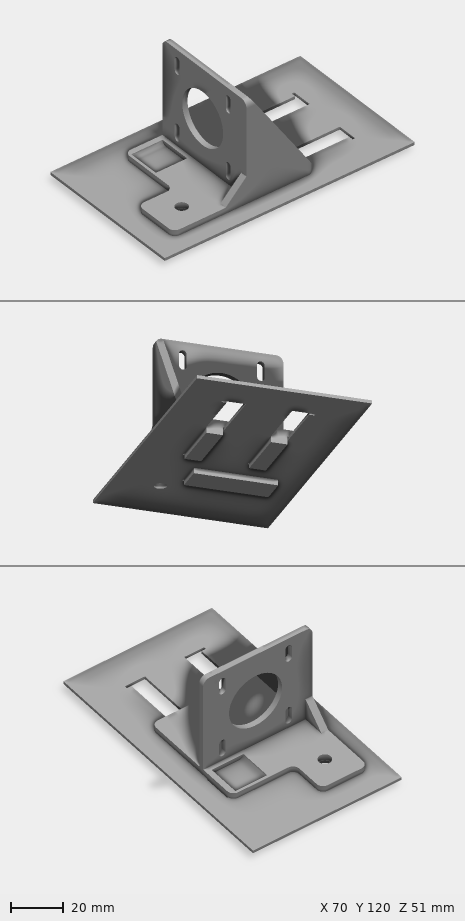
import cadquery as cq

SHEET_X = 70.0
SHEET_Y = 120.0
SHEET_T = 1.3

BASE_LEFT = -24.5
BASE_RIGHT = 26.9
BASE_BACK = 18.4
BASE_FRONT = -32.5
FOOT_LEFT = 5.0
FOOT_FRONT = -49.5
BASE_T = 2.8
BASE_TOP = SHEET_T + BASE_T
CORNER_R = 3.0

WALL_FRONT = -14.4
WALL_T = 2.5
WALL_BACK = WALL_FRONT + WALL_T
WALL_TOP = 49.1
MOTOR_X = 0.1
MOTOR_Z = 25.9
MOTOR_BORE_D = 25.0
MOUNT_PITCH = 31.2
MOUNT_SLOT_LENGTH = 8.0
MOUNT_SLOT_W = 3.0

RIB_T = 3.2
FRONT_RIB_LEG = 10.1

SCREW_X = 16.0
SCREW_Y = -37.0
BRACKET_HOLE_D = 5.5
SHEET_HOLE_D = 5.0

POCKET_LEFT = -22.0
POCKET_SIZE = 15.0
POCKET_FRONT = -31.3
POCKET_DEPTH = 2.0

TAB_DROP = 1.9
RAIL_FRONT = -6.7
CROSS_TAB_RIGHT = 9.2
CROSS_TAB_BACK = -17.9
CROSS_TAB_FRONT = -29.3

SLOT_AXIS_X = 0.6
SLOT_INNER = 9.2
SLOT_OUTER = 16.5
SLOT_BACK = 43.8
NOTCH_OUTER = 18.6
NOTCH_LENGTH = 1.2
SIDE_CLEARANCE = 0.4
END_CLEARANCE = 0.7


def block(x0, x1, y0, y1, z0, z1):
    """Box between two opposite corners; each pair may be in either order."""
    return (
        cq.Workplane("XY")
        .box(abs(x1 - x0), abs(y1 - y0), abs(z1 - z0))
        .translate(((x0 + x1) / 2, (y0 + y1) / 2, (z0 + z1) / 2))
    )


def screw_hole(diameter):
    """Vertical cylinder through the sheet and the base."""
    return cq.Workplane("XY").center(SCREW_X, SCREW_Y).circle(diameter / 2).extrude(BASE_TOP)


def make_base(top):
    """L-shaped base outline with rounded corners, extruded from the sheet up to the given height."""
    return (
        cq.Workplane("XY", origin=(0, 0, SHEET_T))
        .moveTo(BASE_LEFT, BASE_BACK)
        .lineTo(BASE_RIGHT, BASE_BACK)
        .lineTo(BASE_RIGHT, FOOT_FRONT)
        .lineTo(FOOT_LEFT, FOOT_FRONT)
        .lineTo(FOOT_LEFT, BASE_FRONT)
        .lineTo(BASE_LEFT, BASE_FRONT)
        .close()
        .extrude(top - SHEET_T)
        .edges("|Z")
        .fillet(CORNER_R)
    )


def make_wall_profile(y_front, y_back):
    """Upright slab with rounded top corners."""
    slab = block(BASE_LEFT, BASE_RIGHT, y_front, y_back, SHEET_T, WALL_TOP)
    return slab.edges("|Y and >Z").fillet(CORNER_R)


def make_ribs():
    """Triangular ribs in front of and behind the wall, trimmed to the rounded corners."""
    ribs = (
        cq.Workplane("YZ", origin=(BASE_RIGHT - RIB_T, 0, 0))
        .moveTo(BASE_BACK, BASE_TOP)
        .lineTo(WALL_BACK, WALL_TOP)
        .lineTo(WALL_FRONT, WALL_TOP)
        .lineTo(WALL_FRONT, BASE_TOP + FRONT_RIB_LEG)
        .lineTo(WALL_FRONT - FRONT_RIB_LEG, BASE_TOP)
        .close()
        .extrude(RIB_T)
    )
    return ribs.intersect(make_base(WALL_TOP)).intersect(make_wall_profile(FOOT_FRONT, BASE_BACK))


def motor_openings():
    """Motor bore and its four vertical mounting slots, as cutters through the wall."""
    plane = cq.Workplane("XZ", origin=(MOTOR_X, WALL_BACK, MOTOR_Z))
    bore = plane.circle(MOTOR_BORE_D / 2).extrude(WALL_T)
    slots = (
        plane.rarray(MOUNT_PITCH, MOUNT_PITCH, 2, 2)
        .slot2D(MOUNT_SLOT_LENGTH, MOUNT_SLOT_W, 90)
        .extrude(WALL_T)
    )
    return bore.union(slots)


def pocket():
    """Square pocket whose left and right walls are quarter rounds down to the floor."""
    cutter = block(
        POCKET_LEFT, POCKET_LEFT + POCKET_SIZE,
        POCKET_FRONT, POCKET_FRONT + POCKET_SIZE,
        BASE_TOP - POCKET_DEPTH, BASE_TOP + POCKET_DEPTH,
    )
    return cutter.edges("|Y and <Z").fillet(POCKET_DEPTH)


def rail_tab(side):
    """Long tab that slides in one of the sheet slots; side is -1 or 1."""
    inner = SLOT_AXIS_X + side * (SLOT_INNER + SIDE_CLEARANCE)
    outer = SLOT_AXIS_X + side * (SLOT_OUTER - SIDE_CLEARANCE)
    return block(inner, outer, RAIL_FRONT, BASE_BACK, -TAB_DROP, SHEET_T)


def make_bracket():
    bracket = make_base(BASE_TOP).union(make_wall_profile(WALL_FRONT, WALL_BACK)).union(make_ribs())
    for side in (-1, 1):
        bracket = bracket.union(rail_tab(side))
    cross_tab = block(
        BASE_LEFT, CROSS_TAB_RIGHT, CROSS_TAB_FRONT, CROSS_TAB_BACK, -TAB_DROP, SHEET_T
    )
    bracket = bracket.union(cross_tab)
    return bracket.cut(motor_openings()).cut(pocket()).cut(screw_hole(BRACKET_HOLE_D))


def sheet_slot(side):
    """Cutter for one long slot with a small outward notch at its back end; side is -1 or 1."""
    inner = SLOT_AXIS_X + side * SLOT_INNER
    outer = SLOT_AXIS_X + side * SLOT_OUTER
    notch = SLOT_AXIS_X + side * NOTCH_OUTER
    channel = block(inner, outer, RAIL_FRONT - END_CLEARANCE, SLOT_BACK, 0, SHEET_T)
    return channel.union(block(inner, notch, SLOT_BACK - NOTCH_LENGTH, SLOT_BACK, 0, SHEET_T))


def make_sheet():
    sheet = block(-SHEET_X / 2, SHEET_X / 2, -SHEET_Y / 2, SHEET_Y / 2, 0, SHEET_T)
    for side in (-1, 1):
        sheet = sheet.cut(sheet_slot(side))
    cross_slot = block(
        BASE_LEFT - SIDE_CLEARANCE, CROSS_TAB_RIGHT + SIDE_CLEARANCE,
        CROSS_TAB_FRONT - END_CLEARANCE, CROSS_TAB_BACK + END_CLEARANCE,
        0, SHEET_T,
    )
    return sheet.cut(cross_slot).cut(screw_hole(SHEET_HOLE_D))


sheet = make_sheet()
bracket = make_bracket()
result = cq.Compound.makeCompound([sheet.solids().val(), bracket.solids().val()])